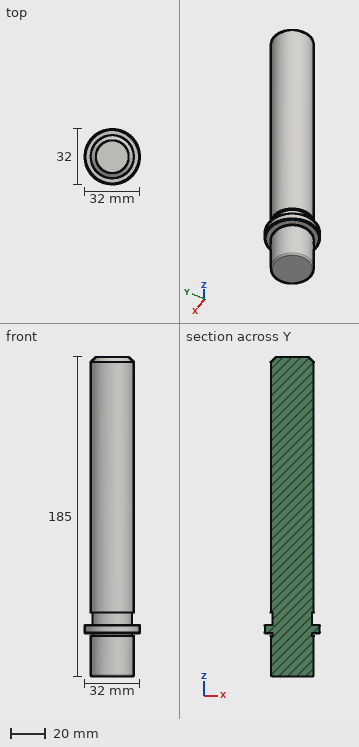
import cadquery as cq

total_length = 185.0
shaft_diameter = 25.0
flange_diameter = 32.0
neck_diameter = 23.0

flange_bottom = 25.0
flange_top = 30.0
neck_top = 37.0
undercut_height = 1.5

tip_chamfer = 3.0
base_radius = 1.0
flange_chamfer = 0.5


def cylinder(diameter, bottom, top):
    """Solid cylinder on the Z axis between two heights."""
    return cq.Workplane("XY").workplane(offset=bottom).circle(diameter / 2).extrude(top - bottom)


shaft = cylinder(shaft_diameter, neck_top, total_length).faces(">Z").chamfer(tip_chamfer)

spigot = cylinder(shaft_diameter, 0, flange_bottom - undercut_height).faces("<Z").fillet(base_radius)

core = cylinder(neck_diameter, flange_bottom - undercut_height, neck_top)

flange = cylinder(flange_diameter, flange_bottom, flange_top).edges().chamfer(flange_chamfer)

result = spigot.union(core).union(flange).union(shaft)